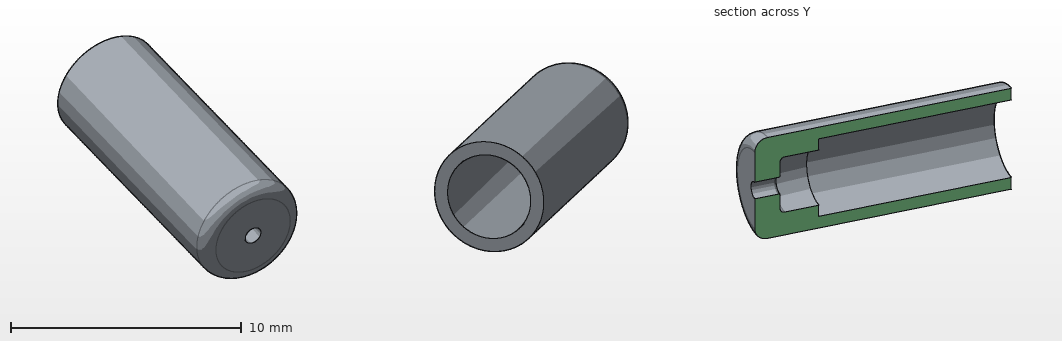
import cadquery as cq

length = 12.1
outer_diameter = 5.0
end_rounding = 0.6

bore_diameter = 3.8
bore_depth = 9.08
pocket_diameter = 2.7
pocket_corner_radius = 0.19

end_wall = 1.21
vent_diameter = 0.8
vent_edge_rounding = 0.1

pocket_floor = length - end_wall


def axial_cylinder(diameter, start, end):
    """Cylinder on the X axis from X = start to X = end."""
    return cq.Workplane("YZ", origin=(start, 0, 0)).circle(diameter / 2).extrude(end - start)


def make_body():
    """Solid outer cylinder with its far edge rounded."""
    return axial_cylinder(outer_diameter, 0, length).faces(">X").edges().fillet(end_rounding)


def make_pocket():
    """Inner pocket volume; its rounded far edge leaves a fillet around the pocket floor."""
    pocket = axial_cylinder(pocket_diameter, 0, pocket_floor)
    return pocket.faces(">X").edges().fillet(pocket_corner_radius)


def make_vent():
    """Vent hole volume, flared where it meets the pocket floor."""
    hole_radius = vent_diameter / 2
    flare_radius = hole_radius + vent_edge_rounding
    flare_end = pocket_floor + vent_edge_rounding
    half_profile = (
        cq.Workplane("XY")
        .moveTo(pocket_floor, 0)
        .lineTo(pocket_floor, flare_radius)
        .radiusArc((flare_end, hole_radius), -vent_edge_rounding)
        .lineTo(length, hole_radius)
        .lineTo(length, 0)
        .close()
    )
    return half_profile.revolve(360, (0, 0, 0), (1, 0, 0))


bore = axial_cylinder(bore_diameter, 0, bore_depth)
result = make_body().cut(bore).cut(make_pocket()).cut(make_vent())